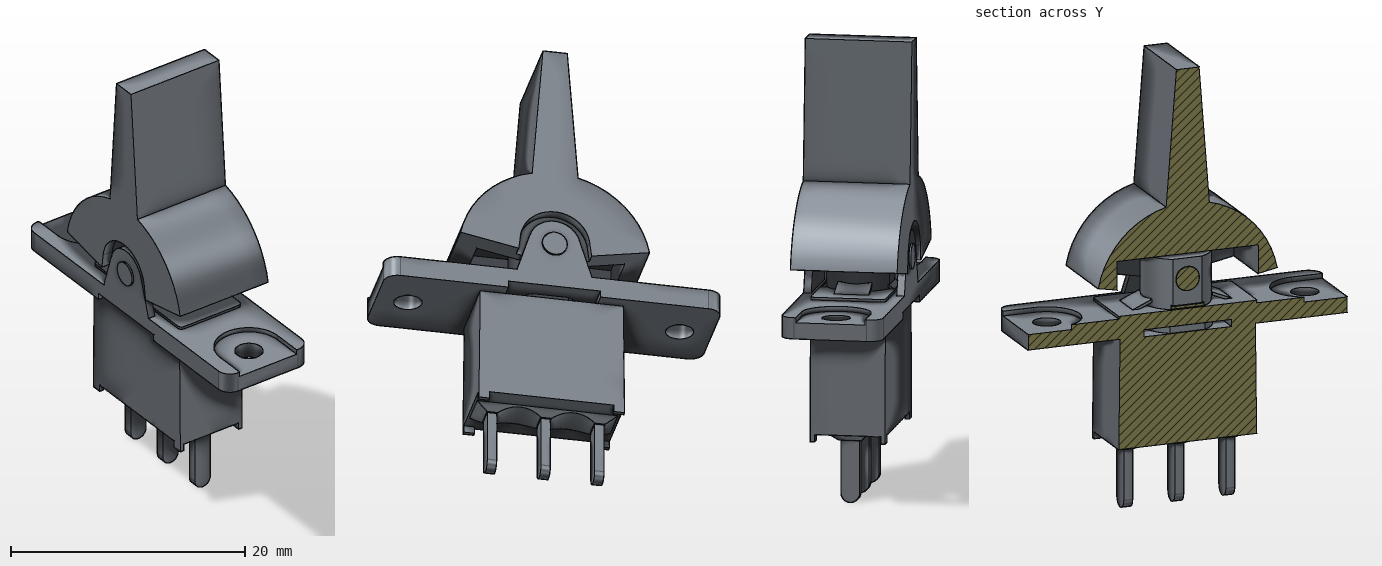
import cadquery as cq
import math

total_height = 39.43

plate_length = 29.38
plate_width = 8.75
plate_bottom = 15.9
plate_top = 17.75
plate_corner_radius = 1.22
mount_hole_diameter = 2.4
mount_hole_x = 11.85
recess_radius = 3.0
recess_depth = 0.45
window_length = 8.05
window_height = 0.6

pivot_z = 20.62
pivot_diameter = 2.15
pivot_length = 9.05
lug_radius = 2.25
lug_base_half_width = 3.27
lug_thickness = 0.67

rocker_radius = 8.4
rocker_center_z = 19.1
rocker_width = 9.25
underside_angle = 10.7
lever_top_half_width = 1.05
lever_base_half_width = 2.0
lever_base_z = 27.2
notch_radius = 3.05
notch_foot_half_width = 3.2
notch_foot_z = 19.65
notch_inner_y = 3.65
cavity_length = 12.95
cavity_width = 5.65
cavity_top = 22.85

bushing_radius = 3.15
neck_radius = 3.05
bushing_flat_y = 2.72
bushing_top = 22.48
collar_length = 12.75
collar_width = 6.5
collar_top = 17.98
collar_corner_radius = 0.4
leaf_width = 3.0
leaf_thickness = 0.28
end_leaf_foot = 4.57
end_leaf_rise = 0.65
end_leaf_run = 1.5
side_leaf_foot = 3.2
side_leaf_rise = 0.4
side_leaf_run = 0.55

body_bottom = 5.4
body_top_length = 12.5
body_bottom_length = 12.75
body_width = 6.5
foot_height = 0.65
foot_gap_x = 10.85
foot_gap_y = 5.75

pin_pitch = 4.7
pin_thickness = 0.83
pin_width = 1.6
resin_top_width = 3.1
resin_bottom_width = 1.97
resin_end_slope_length = 1.0
resin_arch_height = 0.5
resin_crest_length = 0.95

resin_top = body_bottom + foot_height


def block(length, width, bottom, top):
    """Box centred on the Z axis between two heights."""
    return cq.Workplane("XY").workplane(offset=bottom).rect(length, width).extrude(top - bottom)


def along_y(profile, width):
    """Extrude an XZ profile symmetrically about Y = 0."""
    return profile.extrude(width / 2, both=True)


def arched_profile(foot_half_width, foot_z, radius):
    """Round top centred on the pivot, with straight sides tangent to it down to a flat foot."""
    drop = pivot_z - foot_z
    foot_distance = math.hypot(foot_half_width, drop)
    tangent_angle = math.acos(radius / foot_distance) - math.atan2(drop, foot_half_width)
    tangent_x = radius * math.cos(tangent_angle)
    tangent_z = pivot_z + radius * math.sin(tangent_angle)
    return (
        cq.Workplane("XZ")
        .moveTo(-foot_half_width, foot_z)
        .lineTo(foot_half_width, foot_z)
        .lineTo(tangent_x, tangent_z)
        .threePointArc((0, pivot_z + radius), (-tangent_x, tangent_z))
        .close()
    )


def make_plate():
    plate = block(plate_length, plate_width, plate_bottom, plate_top)
    plate = plate.edges("|Z").fillet(plate_corner_radius)
    recess_floor = plate_top - recess_depth
    for side in (-1, 1):
        hole_x = side * mount_hole_x
        outward = plate_length / 2 - mount_hole_x
        open_end = block(outward, 2 * recess_radius, recess_floor, plate_top)
        open_end = open_end.translate((hole_x + side * outward / 2, 0, 0))
        round_end = (
            cq.Workplane("XY").workplane(offset=recess_floor)
            .center(hole_x, 0).circle(recess_radius).extrude(recess_depth)
        )
        hole = (
            cq.Workplane("XY").workplane(offset=plate_bottom)
            .center(hole_x, 0).circle(mount_hole_diameter / 2).extrude(plate_top - plate_bottom)
        )
        plate = plate.cut(open_end).cut(round_end).cut(hole)
    return plate.cut(block(window_length, plate_width, plate_bottom, plate_bottom + window_height))


def make_lugs():
    lugs = along_y(arched_profile(lug_base_half_width, plate_top, lug_radius), plate_width)
    gap = block(plate_length, plate_width - 2 * lug_thickness, plate_top, total_height)
    return lugs.cut(gap)


def make_rocker():
    slope = math.radians(underside_angle)
    tip_x = rocker_radius * math.cos(slope)
    tip_z = rocker_center_z + rocker_radius * math.sin(slope)
    sector = along_y(
        cq.Workplane("XZ")
        .moveTo(0, rocker_center_z)
        .lineTo(tip_x, tip_z)
        .threePointArc((0, rocker_center_z + rocker_radius), (-tip_x, tip_z))
        .close(),
        rocker_width,
    )
    lever = along_y(
        cq.Workplane("XZ").polyline([
            (-lever_base_half_width, lever_base_z),
            (lever_base_half_width, lever_base_z),
            (lever_top_half_width, total_height),
            (-lever_top_half_width, total_height),
        ]).close(),
        rocker_width,
    )
    notch = along_y(arched_profile(notch_foot_half_width, notch_foot_z, notch_radius), rocker_width)
    below_notch = block(2 * notch_foot_half_width, rocker_width, plate_top, notch_foot_z)
    core = block(plate_length, 2 * notch_inner_y, plate_top, total_height)
    clearance = notch.union(below_notch).cut(core)
    cavity = block(cavity_length, cavity_width, plate_top, cavity_top)
    return sector.union(lever).cut(clearance).cut(cavity)


def make_pivot():
    pin = cq.Workplane("XZ").center(0, pivot_z).circle(pivot_diameter / 2)
    return along_y(pin, pivot_length)


def make_bushing():
    base = (
        cq.Workplane("XY").workplane(offset=plate_bottom)
        .circle(bushing_radius).extrude(collar_top - plate_bottom)
    )
    neck = (
        cq.Workplane("XY").workplane(offset=collar_top)
        .circle(neck_radius).extrude(bushing_top - collar_top)
    )
    bushing = base.union(neck)
    return bushing.intersect(block(2 * bushing_radius, 2 * bushing_flat_y, plate_bottom, bushing_top))


def make_leaf(foot, rise, run, angle):
    """Sloping strip from the collar up into the bushing, turned about Z."""
    slope = rise / run
    inner = foot - run - leaf_thickness
    inner_top = collar_top + slope * (foot - inner)
    toe = foot - leaf_thickness / slope
    profile = cq.Workplane("XZ").polyline([
        (foot, collar_top),
        (inner, inner_top),
        (inner, inner_top - leaf_thickness),
        (toe, collar_top),
    ]).close()
    return along_y(profile, leaf_width).rotate((0, 0, 0), (0, 0, 1), angle)


def make_collar():
    collar = block(collar_length, collar_width, plate_top, collar_top)
    collar = collar.edges("|Z").fillet(collar_corner_radius)
    for angle in (0, 180):
        collar = collar.union(make_leaf(end_leaf_foot, end_leaf_rise, end_leaf_run, angle))
        collar = collar.union(make_leaf(side_leaf_foot, side_leaf_rise, side_leaf_run, angle + 90))
    return collar


def make_body():
    body = along_y(
        cq.Workplane("XZ").polyline([
            (-body_bottom_length / 2, body_bottom),
            (body_bottom_length / 2, body_bottom),
            (body_top_length / 2, plate_bottom),
            (-body_top_length / 2, plate_bottom),
        ]).close(),
        body_width,
    )
    lengthwise = block(body_bottom_length, foot_gap_y, body_bottom, resin_top)
    crosswise = block(foot_gap_x, body_width, body_bottom, resin_top)
    return body.cut(lengthwise).cut(crosswise)


def make_resin():
    crest_half = resin_crest_length / 2
    arch_top = body_bottom + resin_arch_height
    outer_x = pin_pitch + crest_half
    profile = (
        cq.Workplane("XZ")
        .moveTo(-outer_x - resin_end_slope_length, resin_top)
        .lineTo(-outer_x, body_bottom)
        .lineTo(-pin_pitch + crest_half, body_bottom)
        .threePointArc((-pin_pitch / 2, arch_top), (-crest_half, body_bottom))
        .lineTo(crest_half, body_bottom)
        .threePointArc((pin_pitch / 2, arch_top), (pin_pitch - crest_half, body_bottom))
        .lineTo(outer_x, body_bottom)
        .lineTo(outer_x + resin_end_slope_length, resin_top)
        .close()
    )
    sloped_sides = (
        cq.Workplane("YZ").polyline([
            (-resin_top_width / 2, resin_top),
            (-resin_bottom_width / 2, body_bottom),
            (resin_bottom_width / 2, body_bottom),
            (resin_top_width / 2, resin_top),
        ]).close().extrude(body_bottom_length / 2, both=True)
    )
    return along_y(profile, body_width).intersect(sloped_sides)


def make_pins():
    half_width = pin_width / 2
    profile = (
        cq.Workplane("YZ")
        .moveTo(-half_width, resin_top)
        .lineTo(-half_width, half_width)
        .threePointArc((0, 0), (half_width, half_width))
        .lineTo(half_width, resin_top)
        .close()
    )
    pin = profile.extrude(pin_thickness / 2, both=True)
    return [pin.translate((step * pin_pitch, 0, 0)) for step in (-1, 0, 1)]


result = make_body()
features = [
    make_plate(),
    make_collar(),
    make_bushing(),
    make_lugs(),
    make_rocker(),
    make_pivot(),
    make_resin(),
]
for feature in features + make_pins():
    result = result.union(feature)